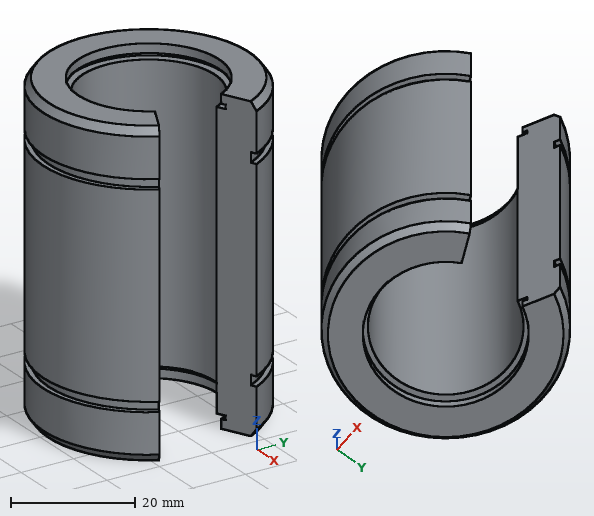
import cadquery as cq
import math

length = 59.0
outer_radius = 20.0
bore_radius = 12.5

chamfer_radial = 1.05
chamfer_axial = 1.5

groove_depth = 1.05
groove_width = 1.8
groove_edge = 8.95

counterbore_radius = 13.35
counterbore_depth = 1.7

undercut_radius = 14.15
undercut_width = 0.75

opening_half_angle = 26.1
opening_apex_x = -1.1
opening_reach = 2 * outer_radius


def ring(bottom, height, outside, inside):
    """Ring around the Z axis, starting at the given height."""
    return cq.Workplane("XY").workplane(offset=bottom).circle(outside).circle(inside).extrude(height)


chamfered_radius = outer_radius - chamfer_radial
sleeve = (
    cq.Workplane("XZ")
    .moveTo(bore_radius, 0)
    .lineTo(chamfered_radius, 0)
    .lineTo(outer_radius, chamfer_axial)
    .lineTo(outer_radius, length - chamfer_axial)
    .lineTo(chamfered_radius, length)
    .lineTo(bore_radius, length)
    .close()
    .revolve(360, (0, 0, 0), (0, 1, 0))
)

for groove_bottom in (groove_edge, length - groove_edge - groove_width):
    sleeve = sleeve.cut(ring(groove_bottom, groove_width, outer_radius, outer_radius - groove_depth))

for counterbore_bottom in (0, length - counterbore_depth):
    sleeve = sleeve.cut(ring(counterbore_bottom, counterbore_depth, counterbore_radius, bore_radius))

for undercut_bottom in (counterbore_depth, length - counterbore_depth - undercut_width):
    sleeve = sleeve.cut(ring(undercut_bottom, undercut_width, undercut_radius, bore_radius))

opening_half_width = opening_reach * math.tan(math.radians(opening_half_angle))
opening_end_x = opening_apex_x + opening_reach
opening = (
    cq.Workplane("XY")
    .moveTo(opening_apex_x, 0)
    .lineTo(opening_end_x, -opening_half_width)
    .lineTo(opening_end_x, opening_half_width)
    .close()
    .extrude(length)
)

result = sleeve.cut(opening)